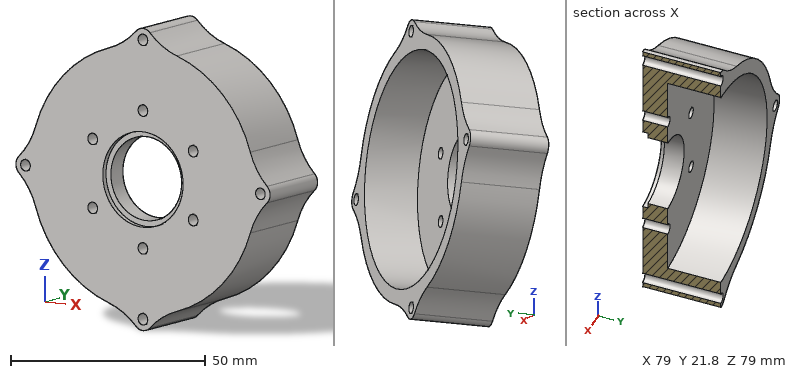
import cadquery as cq
import math

thickness = 21.8
tip_radius = 39.5
ear_radius = 3.0
ear_count = 4
body_radius = 35.0
blend_radius = 20.0
hole_diameter = 3.0
bolt_circle_radius = 18.0
bolt_count = 6
bore_diameter = 22.0
recess_diameter = 25.0
recess_depth = 1.5
cavity_diameter = 62.0
web_thickness = 7.0

ear_center_radius = tip_radius - ear_radius
front_y = -thickness / 2
ear_angles = [i * math.tau / ear_count for i in range(ear_count)]
bolt_angles = [math.pi / 2 + i * math.tau / bolt_count for i in range(bolt_count)]

body_to_blend = body_radius + blend_radius
ear_to_blend = ear_radius + blend_radius
blend_angle = math.acos(
    (body_to_blend**2 + ear_center_radius**2 - ear_to_blend**2)
    / (2 * body_to_blend * ear_center_radius)
)
flank_angle = math.atan2(
    body_to_blend * math.sin(blend_angle),
    body_to_blend * math.cos(blend_angle) - ear_center_radius,
)


def polar(radius, angle, center=(0, 0)):
    """Point in the XZ plane at a radius and angle (radians) from a center."""
    return (center[0] + radius * math.cos(angle), center[1] + radius * math.sin(angle))


def parallel_plane(depth=0.0):
    """XZ workplane at a depth behind the front face; negative extrusion runs toward the back."""
    return cq.Workplane("XZ", origin=(0, front_y + depth, 0))


def cylinders(diameter, length, depth=0.0, centers=((0, 0),)):
    """Cylinders that start at a depth behind the front face and run toward the back."""
    return parallel_plane(depth).pushPoints(centers).circle(diameter / 2).extrude(-length)


def add_ear(outline, angle):
    """Continue the outline counterclockwise through one ear and its two concave flanks."""
    ear_center = polar(ear_center_radius, angle)
    middle_turn = (blend_angle + flank_angle) / 2 + math.pi
    first_blend = polar(body_to_blend, angle - blend_angle)
    last_blend = polar(body_to_blend, angle + blend_angle)
    return (
        outline
        .threePointArc(
            polar(blend_radius, angle - middle_turn, first_blend),
            polar(ear_radius, angle - flank_angle, ear_center),
        )
        .threePointArc(
            polar(tip_radius, angle),
            polar(ear_radius, angle + flank_angle, ear_center),
        )
        .threePointArc(
            polar(blend_radius, angle + middle_turn, last_blend),
            polar(body_radius, angle + blend_angle),
        )
    )


def eared_body():
    """Solid block with the full outline: ears joined by arcs of the body circle."""
    ear_pitch = math.tau / ear_count
    outline = parallel_plane().moveTo(*polar(body_radius, -blend_angle))
    for angle in ear_angles:
        outline = add_ear(outline, angle).threePointArc(
            polar(body_radius, angle + ear_pitch / 2),
            polar(body_radius, angle + ear_pitch - blend_angle),
        )
    return outline.close().extrude(-thickness)


body = eared_body()

body = body.cut(cylinders(bore_diameter, thickness))
body = body.cut(cylinders(recess_diameter, recess_depth))
body = body.cut(cylinders(cavity_diameter, thickness - web_thickness, depth=web_thickness))

hole_centers = [polar(ear_center_radius, angle) for angle in ear_angles]
hole_centers += [polar(bolt_circle_radius, angle) for angle in bolt_angles]
result = body.cut(cylinders(hole_diameter, thickness, centers=hole_centers))